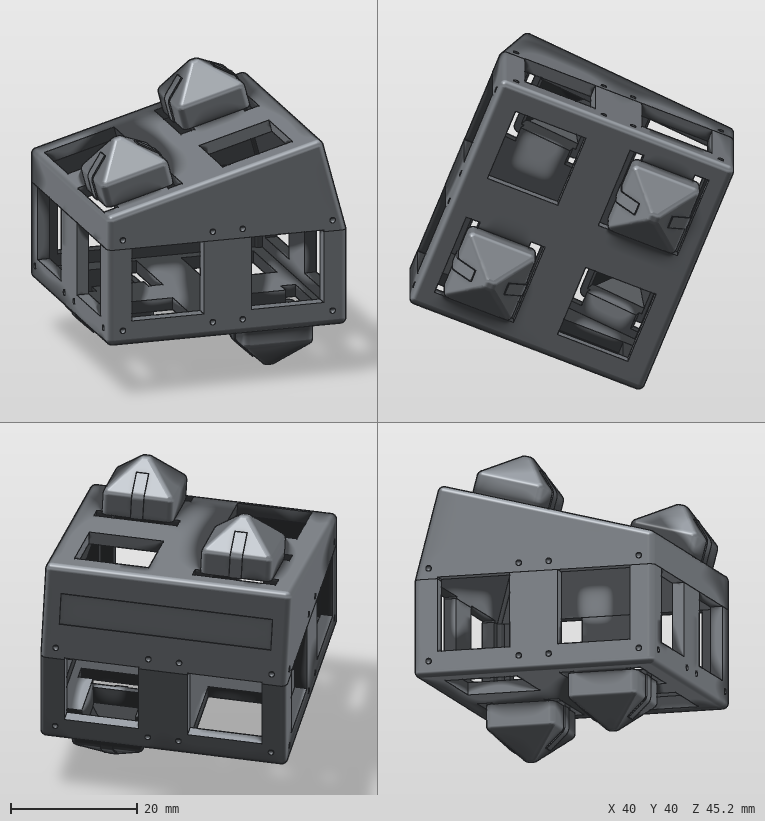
import cadquery as cq
import math

side = 40.0
cell = side / 2
margin = 4.0
window = cell - 2 * margin
wall = 2.0
edge_radius = 1.0
seam_z = margin + window
rear_lip = 0.25
front_height = 21.35
tilt = 15
post_radius = 0.55

stud_width = 11.6
stud_shoulder = 3.75
stud_height = 8.5
stud_tip_width = 1.45
shell = 1.0
cavity_shoulder = 3.0
cavity_tip_width = 0.35
cavity_half_x = 4.35
slot_start = 4.35
slot_end = 6.75

strip_width = 2.0
strip_rise = 0.23
strip_top = 6.75
strip_bend_radius = 1.6

dimple_radius = 0.45
dimple_inset = 2.5

label_width = 34.28
label_height = 5.2
label_depth = 0.2
label_offset = 8.5

half = side / 2
inner_half = half - wall
sin_t = math.sin(math.radians(tilt))
cos_t = math.cos(math.radians(tilt))
fold_z = seam_z - rear_lip

slope_run = side * cos_t - (front_height - fold_z) * sin_t
ridge_y = -half + slope_run * cos_t
ridge_z = front_height + slope_run * sin_t
rear_length = (ridge_z - fold_z) / cos_t

floor_studs = [(-1, -1), (1, 1)]
roof_studs = [(-1, 1), (1, -1)]


def side_profile(inset):
    """Outline in Y, Z of the whole housing, offset inward by inset."""
    bend = inset * math.tan(math.radians(tilt / 2))
    rise = math.tan(math.radians(tilt))
    front_top = front_height + inset * rise - inset / cos_t
    return [
        (-half + inset, inset),
        (half - inset, inset),
        (half - inset, fold_z - bend),
        (ridge_y - inset * (cos_t - sin_t), ridge_z - inset * (cos_t + sin_t)),
        (-half + inset, front_top),
    ]


def prism(inset):
    length = side - 2 * inset
    return cq.Workplane("YZ").polyline(side_profile(inset)).close().extrude(length / 2, both=True)


def box_between(low, high):
    size = [b - a for a, b in zip(low, high)]
    return cq.Workplane().box(*size, centered=False).translate(low)


def frustum(base_width, tip_width, base_z, tip_z):
    return (
        cq.Workplane().workplane(offset=base_z).rect(base_width, base_width)
        .workplane(offset=tip_z - base_z).rect(tip_width, tip_width).loft(ruled=True)
    )


half_stud = stud_width / 2
facet_angle = math.atan2(stud_height - stud_shoulder, half_stud - stud_tip_width / 2)


def stud_body():
    body = cq.Workplane().rect(stud_width, stud_width).extrude(stud_shoulder)
    body = body.union(frustum(stud_width, stud_tip_width, stud_shoulder, stud_height))
    return body.edges("not <Z").fillet(edge_radius)


def snap_strip():
    """Band that follows a stud's -Y and +Y sides and lies proud of them."""
    bend_z = stud_shoulder + strip_rise * math.tan(facet_angle / 2)
    end_run = (strip_top - bend_z) / math.tan(facet_angle)
    outer = half_stud + strip_rise
    end_y = outer - end_run
    depth = 1.5 * strip_rise
    strip = (
        cq.Workplane("YZ")
        .moveTo(0, 0)
        .lineTo(outer, 0)
        .lineTo(outer, bend_z)
        .lineTo(end_y, strip_top)
        .lineTo(end_y - depth * math.sin(facet_angle), strip_top - depth * math.cos(facet_angle))
        .lineTo(0, 0)
        .close()
        .extrude(strip_width / 2, both=True)
    )
    strip = strip.edges(cq.selectors.NearestToPointSelector((0, outer, bend_z))).fillet(strip_bend_radius)
    return strip.union(strip.mirror("XZ"))


def stud_cavity():
    """Pyramid-topped hollow of a stud, trimmed along X."""
    inner = stud_width - 2 * shell
    tip = stud_height - shell
    cavity = cq.Workplane().rect(inner, inner).extrude(cavity_shoulder)
    cavity = cavity.union(frustum(inner, cavity_tip_width, cavity_shoulder, tip))
    return cavity.intersect(cq.Workplane().rect(2 * cavity_half_x, side).extrude(side))


def plate_opening():
    """Opening through the plate under a stud: the cavity and a relief slot at each end."""
    opening = cq.Workplane().rect(2 * cavity_half_x, 2 * slot_start).extrude(-wall)
    slots = (
        cq.Workplane()
        .pushPoints([(0, end * (slot_start + slot_end) / 2) for end in (-1, 1)])
        .rect(2 * slot_end, slot_end - slot_start)
        .extrude(-wall)
    )
    return opening.union(slots)


def window_opening():
    return cq.Workplane().rect(window, window).extrude(-wall)


stud = stud_body().union(snap_strip()).cut(stud_cavity())


def on_floor(shape, spot):
    return shape.rotate((0, 0, 0), (1, 0, 0), 180).translate((*spot, 0))


def on_roof(shape, spot):
    """Place on the top plane; the cell grid is counted from the rear top corner."""
    from_ridge = cell - spot[1]
    tilted = shape.rotate((0, 0, 0), (1, 0, 0), tilt)
    return tilted.translate((spot[0], ridge_y - from_ridge * cos_t, ridge_z - from_ridge * sin_t))


def add_cells(body, place, stud_spots):
    """Give each cell of a plate a hollow stud or a window."""
    for col in (-1, 1):
        for row in (-1, 1):
            spot = (col * cell / 2, row * cell / 2)
            if (col, row) in stud_spots:
                body = body.cut(place(plate_opening(), spot)).union(place(stud, spot))
            else:
                body = body.cut(place(window_opening(), spot))
    return body


def side_windows():
    """Windows through all four upright walls."""
    centre_z = margin + window / 2
    cutters = cq.Workplane()
    for offset in (-cell / 2, cell / 2):
        cutters = cutters.union(cq.Workplane().box(window, 2 * side, window).translate((offset, 0, centre_z)))
        cutters = cutters.union(cq.Workplane().box(2 * side, window, window).translate((0, offset, centre_z)))
    return cutters


def dimple(centre, normal):
    return cq.Solid.makeSphere(dimple_radius, cq.Vector(*centre), cq.Vector(*normal), -90, 90, 360)


def dimples():
    """Round dimples at the cell corners: two rows on the sides and rear, only the low row in front."""
    low = dimple_inset
    high = cell - dimple_inset
    rear_high_y = half - (high - fold_z) * sin_t / cos_t
    balls = cq.Workplane()
    for a in (-half + low, -low, low, half - low):
        for z in (low, high):
            balls = balls.add(dimple((-half, a, z), (-1, 0, 0)))
            balls = balls.add(dimple((half, a, z), (1, 0, 0)))
        balls = balls.add(dimple((a, -half, low), (0, -1, 0)))
        balls = balls.add(dimple((a, half, low), (0, 1, 0)))
        balls = balls.add(dimple((a, rear_high_y, high), (0, cos_t, sin_t)))
    return balls.combine(clean=False)


def both_corners(post):
    """A post of the +X rear corner together with its mirror image at -X."""
    return post.union(post.mirror("YZ"))


def base_posts():
    """Upright posts in the rear inner corners of the base, with one rounded edge, rooted in the walls."""
    root = half - wall / 2
    left = inner_half - post_radius
    front = inner_half - 2 * post_radius
    bulge = post_radius * math.sqrt(0.5)
    post = (
        cq.Workplane()
        .workplane(offset=wall / 2)
        .moveTo(left, root)
        .lineTo(left, front + post_radius)
        .threePointArc((inner_half - bulge, front + post_radius - bulge), (inner_half, front))
        .lineTo(root, front)
        .lineTo(root, root)
        .close()
        .extrude(fold_z - wall / 2)
    )
    return both_corners(post)


def lid_posts():
    """Round posts in the rear inner corners of the lid, along the sloping rear face."""
    bend = wall * math.tan(math.radians(tilt / 2))
    post = cq.Workplane().workplane(offset=-wall).circle(post_radius).extrude(rear_length + bend)
    post = post.rotate((0, 0, 0), (1, 0, 0), tilt).translate((inner_half, inner_half, fold_z - bend))
    return both_corners(post).cut(low_zone)


def label_recess():
    y = half - label_offset * sin_t
    z = fold_z + label_offset * cos_t
    recess = cq.Workplane().box(label_width, 2 * label_depth, label_height)
    return recess.rotate((0, 0, 0), (1, 0, 0), tilt).translate((0, y, z))


housing_shell = prism(0).edges().fillet(edge_radius).cut(prism(wall))

low_zone = box_between((-side, -side, -side), (side, side, seam_z)).cut(
    box_between((-side, half - margin, fold_z), (side, side, seam_z))
)

openings = side_windows()
dents = dimples()

base = housing_shell.intersect(low_zone).cut(openings)
base = base.union(base_posts())
base = add_cells(base, on_floor, floor_studs).cut(dents, clean=False)

lid = housing_shell.cut(low_zone).cut(openings).cut(label_recess())
lid = lid.union(lid_posts())
lid = add_cells(lid, on_roof, roof_studs).cut(dents, clean=False)

result = cq.Compound.makeCompound([base.val(), lid.val()])